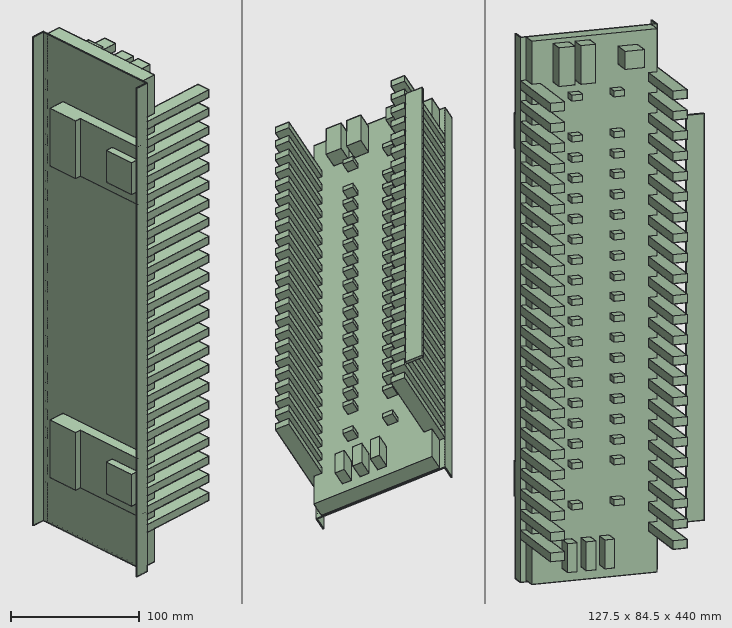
import cadquery as cq


total_width = 127.5
tray_length = 440.0
tray_width = 113.0
tray_depth = 12.0
sheet = 1.0

clip_count = 2
clip_bottom = 53.5
clip_spacing = 280.5
clip_height = 52.0
clip_left = 22.5
clip_right = tray_width - sheet
clip_web_depth = 10.0
clip_foot_width = 27.5
clip_foot_depth = 15.5
clip_pad_width = 27.5
clip_pad_height = 28.5
clip_pad_depth = 16.5

block_margin = 5.0
block_depth = 12.8
block_end_gap = 1.5

finger_count = 23
finger_span = 363.0
finger_pitch = finger_span / (finger_count - 1)
finger_bottom = 35.0
finger_height = 7.0
finger_width = 12.0
finger_reach = 68.0
finger_row_top = finger_bottom + finger_span + finger_height

strip_width = total_width - tray_width
strip_thickness = 2.0
strip_setback = 1.5
strip_end_gap = 56.0

terminal_width = 9.0
terminal_height = 5.0
terminal_top = 21.5
terminal_left = 34.8
gaps_without_terminals = (0, 2, 20)

upper_pair_spans = ((60.5, 72.5), (77.5, 90.5))
upper_pair_top = 26.0
upper_pair_end = 436.5
tall_connector_span = (21.0, 37.0)
tall_connector_top = 28.5
tall_connector_z = (414.5, 429.0)

lower_connector_count = 3
lower_connector_left = 44.5
lower_connector_pitch = 15.5
lower_connector_width = 8.0
lower_connector_top = 25.0
lower_connector_end = 12.0


def box(x_range, y_range, z_range):
    """Box between the given low and high X, Y and Z."""
    low, high = zip(x_range, y_range, z_range)
    size = [end - start for start, end in zip(low, high)]
    return cq.Workplane("XY").box(*size, centered=False).translate(low)


def centered_range(middle, length):
    return (middle - length / 2, middle + length / 2)


def make_clip(bottom):
    z_range = (bottom, bottom + clip_height)
    pad_z = centered_range(bottom + clip_height / 2, clip_pad_height)
    web = box((clip_left, clip_right), (-clip_web_depth, -sheet), z_range)
    foot = box((clip_left, clip_left + clip_foot_width), (-clip_foot_depth, -sheet), z_range)
    pad = box((clip_right - clip_pad_width, clip_right), (-clip_pad_depth, -sheet), pad_z)
    return web.union(foot).union(pad)


def make_tray():
    """Sheet tray with its rail clips."""
    outside = box((0, tray_width), (-tray_depth, 0), (0, tray_length))
    channel = box((sheet, tray_width - sheet), (-tray_depth, -sheet), (0, tray_length))
    tray = outside.cut(channel)
    for index in range(clip_count):
        tray = tray.union(make_clip(clip_bottom + index * clip_spacing))
    return tray


def make_fingers():
    fingers = []
    for index in range(finger_count):
        bottom = finger_bottom + index * finger_pitch
        for left in (0, tray_width - finger_width):
            fingers.append(
                box((left, left + finger_width), (0, finger_reach), (bottom, bottom + finger_height))
            )
    return fingers


def make_strip():
    outer_face = finger_reach - strip_setback
    return box(
        (-strip_width, 0),
        (outer_face - strip_thickness, outer_face),
        (strip_end_gap, tray_length - strip_end_gap),
    )


def make_terminals():
    terminals = []
    mirrored_left = tray_width - terminal_left - terminal_width
    for gap in range(finger_count - 1):
        if gap in gaps_without_terminals:
            continue
        middle = finger_bottom + finger_height / 2 + (gap + 0.5) * finger_pitch
        z_range = centered_range(middle, terminal_height)
        for left in (terminal_left, mirrored_left):
            terminals.append(box((left, left + terminal_width), (block_depth, terminal_top), z_range))
    return terminals


def make_connectors():
    connectors = [box(tall_connector_span, (block_depth, tall_connector_top), tall_connector_z)]
    for span in upper_pair_spans:
        connectors.append(box(span, (block_depth, upper_pair_top), (finger_row_top, upper_pair_end)))
    for index in range(lower_connector_count):
        left = lower_connector_left + index * lower_connector_pitch
        connectors.append(
            box(
                (left, left + lower_connector_width),
                (block_depth, lower_connector_top),
                (lower_connector_end, finger_bottom),
            )
        )
    return connectors


def make_wiring_block():
    """Block with its fingers, side strip, terminals and connectors."""
    block = box(
        (block_margin, tray_width - block_margin),
        (0, block_depth),
        (block_end_gap, tray_length),
    )
    for feature in [*make_fingers(), make_strip(), *make_terminals(), *make_connectors()]:
        block = block.union(feature)
    return block


tray = make_tray()
wiring_block = make_wiring_block()
result = cq.Compound.makeCompound([tray.val(), wiring_block.val()])